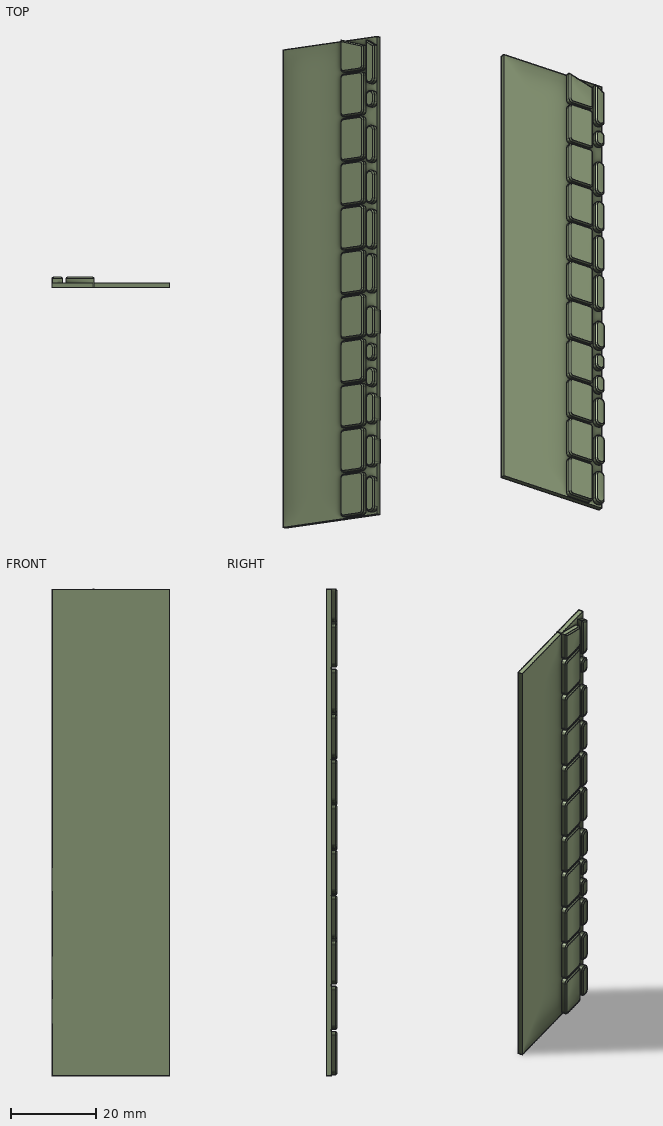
import cadquery as cq

overall_width = 27.7
overall_thickness = 2.5
overall_height = 114.5

plate_left = 0.06
plate_thickness = 1.1
plate_height = 114.4

bevel = 0.3
edge_corner_radius = 1.1
inner_corner_radius = 0.9

edge_right = 2.5
set_back_left = 0.1
proud_left = 0.0
set_back_blocks = [
    (97.5, 101.4),
    (84.2, 93.1),
    (74.4, 82.3),
    (63.5, 73.0),
    (53.0, 62.4),
    (36.9, 40.9),
    (30.6, 35.0),
]
proud_blocks = [(42.5, 49.8), (21.6, 29.0), (11.3, 18.9)]
level_blocks = [(0.6, 9.0)]

edge_top_block_bottom = 103.1
edge_top_block_peak = 113.7
edge_top_drop = 1.5

inner_left = 3.3
inner_right = 10.0
inner_pitch = 10.6
inner_gap = 0.5
inner_full_blocks = 10
inner_top_drop = 2.0


def stone_block(left, right, bottom, top, radius, drop=0.0):
    """Block with a bevelled +Y rim. A drop slopes its top down to the left and leaves those corners sharp."""
    outline = [(left, bottom), (right, bottom), (right, top), (left, top - drop)]
    block = cq.Workplane("XZ").polyline(outline).close().extrude(-overall_thickness)
    corners = block.edges("|Y")
    if drop > 0:
        corners = corners.edges("<Z")
    return corners.fillet(radius).faces(">Y").chamfer(bevel)


result = cq.Workplane("XY", origin=(plate_left, 0, 0)).box(
    overall_width - plate_left, plate_thickness, plate_height, centered=False
)

edge_groups = [
    (set_back_left, set_back_blocks),
    (proud_left, proud_blocks),
    (plate_left, level_blocks),
]
for left, blocks in edge_groups:
    for bottom, top in blocks:
        result = result.union(stone_block(left, edge_right, bottom, top, edge_corner_radius))
result = result.union(
    stone_block(
        set_back_left,
        edge_right,
        edge_top_block_bottom,
        edge_top_block_peak,
        edge_corner_radius,
        edge_top_drop,
    )
)

for index in range(inner_full_blocks):
    bottom = index * inner_pitch + inner_gap / 2
    top = bottom + inner_pitch - inner_gap
    result = result.union(stone_block(inner_left, inner_right, bottom, top, inner_corner_radius))
result = result.union(
    stone_block(
        inner_left,
        inner_right,
        inner_full_blocks * inner_pitch + inner_gap / 2,
        overall_height,
        inner_corner_radius,
        inner_top_drop,
    )
)